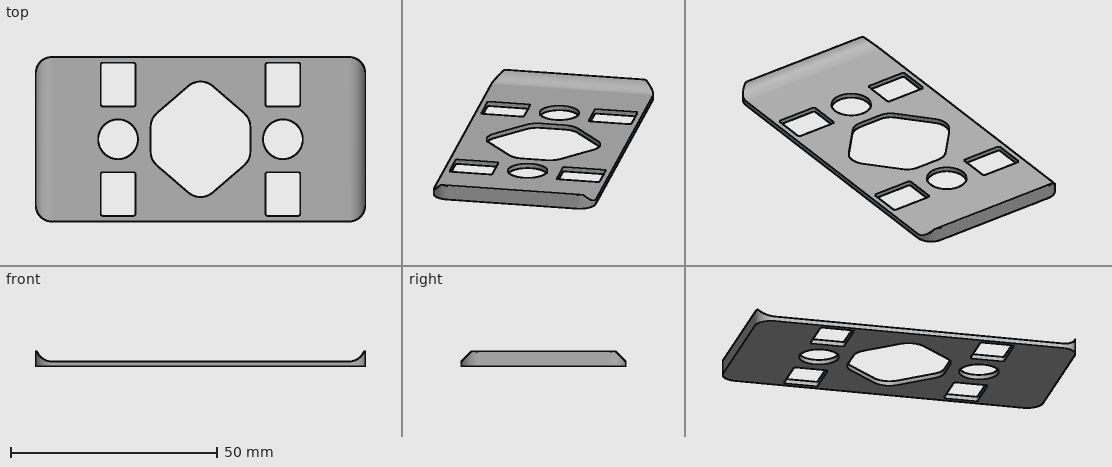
import cadquery as cq
import math

length = 80.0
width = 40.0
height = 3.7
plate_thickness = 1.2
corner_radius = 4.0

sweep_radius = 4.0
sweep_center_x = length / 2 - sweep_radius
sweep_center_z = plate_thickness + sweep_radius
peak_drop = sweep_center_z - height
tip_factor = 2 * sweep_radius - peak_drop
tip_radius = tip_factor - math.sqrt(tip_factor**2 - peak_drop**2)
tip_center_x = length / 2 - tip_radius
tip_center_z = height - tip_radius

opening_offset_x = length / 4
round_hole_diameter = 9.6
window_length = 8.4
window_width = 10.6
window_offset_y = 13.3
window_corner_radius = 0.5

hexagon_half_length = 12.1
hexagon_apex_y = 15.4
hexagon_shoulder_y = 5.0
hexagon_corner_radius = 4.6


def make_body():
    """Plate with raised, concave ends, trimmed to a rounded rectangle."""
    join_ratio = sweep_radius / (sweep_radius + tip_radius)
    join_x = sweep_center_x + join_ratio * (tip_center_x - sweep_center_x)
    join_z = sweep_center_z + join_ratio * (tip_center_z - sweep_center_z)
    sweep_start = (sweep_center_x, plate_thickness)
    join = (join_x, join_z)
    wall_top = (length / 2, tip_center_z)

    half_body = (
        cq.Workplane("XZ")
        .moveTo(0, 0)
        .lineTo(0, plate_thickness)
        .lineTo(*sweep_start)
        .tangentArcPoint(join, relative=False)
        .threePointArc((tip_center_x, height), wall_top)
        .lineTo(length / 2, 0)
        .close()
        .extrude(width / 2, both=True)
    )
    body = half_body.union(half_body.mirror("YZ"), clean=True)

    outline = (
        cq.Workplane("XY")
        .rect(length, width)
        .extrude(height)
        .edges("|Z")
        .fillet(corner_radius)
    )
    return body.intersect(outline)


def make_windows():
    """Four rounded rectangular through-cutters."""
    centers = [
        (side_x * opening_offset_x, side_y * window_offset_y)
        for side_x in (-1, 1)
        for side_y in (-1, 1)
    ]
    return (
        cq.Workplane("XY")
        .pushPoints(centers)
        .rect(window_length, window_width)
        .extrude(height)
        .edges("|Z")
        .fillet(window_corner_radius)
    )


def make_round_holes():
    """Two cylindrical through-cutters."""
    return (
        cq.Workplane("XY")
        .pushPoints([(-opening_offset_x, 0), (opening_offset_x, 0)])
        .circle(round_hole_diameter / 2)
        .extrude(height)
    )


def make_hexagon():
    """Central hexagonal through-cutter with rounded corners."""
    corners = [
        (0, hexagon_apex_y),
        (hexagon_half_length, hexagon_shoulder_y),
        (hexagon_half_length, -hexagon_shoulder_y),
        (0, -hexagon_apex_y),
        (-hexagon_half_length, -hexagon_shoulder_y),
        (-hexagon_half_length, hexagon_shoulder_y),
    ]
    return (
        cq.Workplane("XY")
        .polyline(corners)
        .close()
        .extrude(height)
        .edges("|Z")
        .fillet(hexagon_corner_radius)
    )


result = make_body().cut(make_windows()).cut(make_round_holes()).cut(make_hexagon())